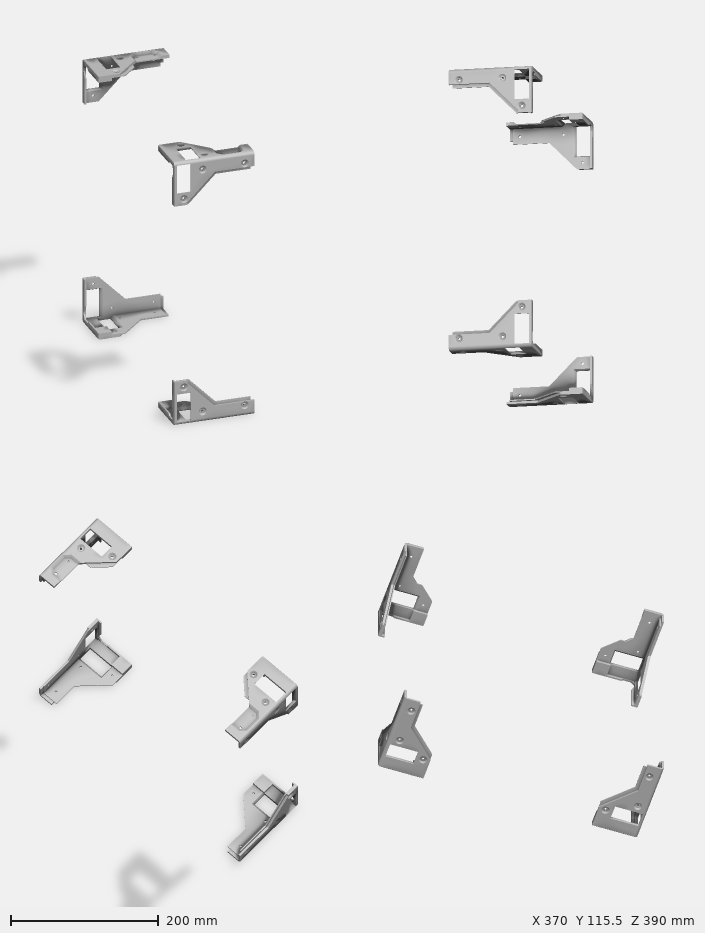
import cadquery as cq

WIDTH = 370.0
HEIGHT = 390.0
LENGTH = 115.5

LEG = 64.7
PLATE = 4.5
SKIN = 3.0
CORNER_RADIUS = 5.0
FRONT_CHAMFER = 0.6
TOLERANCE = 0.5

LIP = 4.5
BACK_GAP = 4.5

FLOOR_BACK_WIDTH = 27.5
FLOOR_SLANT_FRONT = 31.0
FLOOR_SLANT_BACK = 67.0
FLOOR_SLANT_LIP = 7.8
UPPER_LIP_END = 59.5

WALL_BACK_HEIGHT = 21.5
WALL_SLANT_FRONT = 19.0
WALL_SLANT_BACK = 58.5
WALL_SLANT_LIP = 2.0

WINDOW_WIDTH = 20.3
WINDOW_START = 4.5
FLOOR_WINDOW_END = 44.5
WALL_WINDOW_END = 46.0
FLOOR_WINDOW_Y = 18.5
WALL_WINDOW_Y = 3.5
WINDOW_FLARE = 3.5
WINDOW_END_FLARE = 2.0

RIM_HEIGHT = 9.0
RIM_DEPTH = 2.5
FLOOR_RIM_START = 23.5
FLOOR_RAMP = 2.7
WALL_RIM_START = 25.7
WALL_RAMP = 9.5
PAD_DEPTH = 19.0
RIM_FLOOR_LEVEL = 6.2
RIM_BEVEL_X = 9.0
RIM_BEVEL_Z = 12.5

HOLE_DIAMETER = 3.5
BORE_DIAMETER = 7.5
BORE_DEPTH = 2.5
MOUTH_DIAMETER = 11.5
FLOOR_HOLES = [(15.2, 48.5), (55.0, 29.0)]
FLOOR_BACK_HOLE = (15.2, 98.3)
WALL_HOLES = [(101.5, 15.5), (41.0, 15.5), (14.0, 55.5)]

POCKET_FRONT = 64.5
POCKET_BACK = 104.5
POCKET_CORNER = 7.8
POCKET_CORNER_SHRINK = 0.6
POCKET_DEPTH = 3.0
POCKET_WALL_RUN = 4.0
POCKET_SIDE = 4.5
POCKET_OVERRUN = 4.0
BLIND_HOLE = (15.2, 73.5)
BLIND_DEPTH = 0.8


def slab(plane, points, start, end):
    """Plate between two distances along the plane's normal."""
    return cq.Workplane(plane).workplane(offset=start).polyline(points).close().extrude(end - start)


def floor_points(back_width, slant_shift, length):
    """Floor outline; the slanted edge keeps its slope and is moved along Y."""
    slope = (FLOOR_SLANT_BACK - FLOOR_SLANT_FRONT) / (LEG - FLOOR_BACK_WIDTH)
    slant_front = FLOOR_SLANT_FRONT + slant_shift
    return [
        (0, 0),
        (LEG, 0),
        (LEG, slant_front),
        (back_width, slant_front + slope * (LEG - back_width)),
        (back_width, length),
        (0, length),
    ]


def upper_floor():
    """Floor without a lip beside the pocket."""
    plate = slab("XY", floor_points(FLOOR_BACK_WIDTH, 0, LENGTH), 0, PLATE)
    lip = slab("XY", floor_points(FLOOR_BACK_WIDTH, FLOOR_SLANT_LIP, LENGTH), SKIN, PLATE)
    front_part = cq.Workplane("XY").box(LEG, UPPER_LIP_END, PLATE, centered=False)
    return plate.union(lip.intersect(front_part))


def lower_floor():
    """Floor with the lip along the whole inner edge."""
    skin = slab("XY", floor_points(FLOOR_BACK_WIDTH - LIP, 0, LENGTH), 0, SKIN)
    lip_points = floor_points(FLOOR_BACK_WIDTH, FLOOR_SLANT_LIP, LENGTH - BACK_GAP)
    return skin.union(slab("XY", lip_points, SKIN, PLATE))


def wall():
    skin_points = [
        (0, 0),
        (LENGTH, 0),
        (LENGTH, WALL_BACK_HEIGHT),
        (WALL_SLANT_BACK, WALL_BACK_HEIGHT),
        (WALL_SLANT_FRONT, WALL_BACK_HEIGHT + WALL_SLANT_BACK - WALL_SLANT_FRONT),
        (WALL_SLANT_FRONT, LEG),
        (0, LEG),
    ]
    lip_height = WALL_BACK_HEIGHT + LIP
    lip_slant_back = WALL_SLANT_BACK + WALL_SLANT_LIP
    lip_points = [
        (0, 0),
        (LENGTH - BACK_GAP, 0),
        (LENGTH - BACK_GAP, lip_height),
        (lip_slant_back, lip_height),
        (lip_slant_back + lip_height - LEG, LEG),
        (0, LEG),
    ]
    return slab("YZ", skin_points, 0, SKIN).union(slab("YZ", lip_points, SKIN, PLATE))


def front_rim():
    points = [
        (0, 0),
        (LEG, 0),
        (LEG, RIM_HEIGHT),
        (FLOOR_RIM_START, RIM_HEIGHT),
        (FLOOR_RIM_START - FLOOR_RAMP, RIM_FLOOR_LEVEL),
        (RIM_BEVEL_X, RIM_FLOOR_LEVEL),
        (PLATE, RIM_BEVEL_Z),
        (PLATE, WALL_RIM_START - WALL_RAMP),
        (RIM_HEIGHT, WALL_RIM_START),
        (RIM_HEIGHT, LEG),
        (0, LEG),
    ]
    return slab("XZ", points, 0, -RIM_DEPTH)


def floor_pad():
    reach = LEG - FLOOR_WINDOW_END
    pad = cq.Workplane("XY").box(reach, PAD_DEPTH, RIM_HEIGHT, centered=False)
    return pad.translate((FLOOR_WINDOW_END, 0, 0))


def window(length, y):
    """Floor window whose back and end edges are flared towards the inner face."""
    wide_length = length + WINDOW_END_FLARE
    wide_width = WINDOW_WIDTH + WINDOW_FLARE
    straight = cq.Workplane("XY").box(length, WINDOW_WIDTH, PLATE, centered=False)
    flare = (
        cq.Workplane("XY")
        .workplane(offset=PLATE - WINDOW_FLARE)
        .polyline([(0, 0), (length, 0), (length, WINDOW_WIDTH), (0, WINDOW_WIDTH)])
        .close()
        .workplane(offset=WINDOW_FLARE)
        .polyline([(0, 0), (wide_length, 0), (wide_length, wide_width), (0, wide_width)])
        .close()
        .loft(ruled=True)
    )
    return straight.union(flare).translate((WINDOW_START, y, 0))


def floor_window():
    return window(FLOOR_WINDOW_END - WINDOW_START, FLOOR_WINDOW_Y)


def wall_window():
    """The same kind of window with X and Z exchanged."""
    flat = window(WALL_WINDOW_END - WINDOW_START, WALL_WINDOW_Y)
    return flat.rotate((0, 0, 0), (0, 1, 0), -90).mirror("YZ")


def straight_hole(depth):
    return cq.Workplane("XY").circle(HOLE_DIAMETER / 2).extrude(depth)


def screw_hole():
    """Hole along +Z whose counterbore opens at z = 0 with a 45 degree mouth."""
    mouth_depth = (MOUTH_DIAMETER - BORE_DIAMETER) / 2
    mouth = cq.Workplane(cq.Solid.makeCone(MOUTH_DIAMETER / 2, BORE_DIAMETER / 2, mouth_depth))
    bore = cq.Workplane("XY").circle(BORE_DIAMETER / 2).extrude(BORE_DEPTH)
    return straight_hole(PLATE).union(bore).union(mouth)


def drill(body, floor_holes):
    floor_hole = screw_hole()
    wall_hole = floor_hole.rotate((0, 0, 0), (0, 1, 0), 90)
    for x, y in floor_holes:
        body = body.cut(floor_hole.translate((x, y, 0)))
    for y, z in WALL_HOLES:
        body = body.cut(wall_hole.translate((0, y, z)))
    return body


def pocket_outline(inset):
    side = POCKET_SIDE + inset
    front = POCKET_FRONT + inset
    back = POCKET_BACK - inset
    corner = POCKET_CORNER - POCKET_CORNER_SHRINK * inset
    open_end = FLOOR_BACK_WIDTH + POCKET_OVERRUN
    return [
        (open_end, front),
        (side + corner, front),
        (side, front + corner),
        (side, back - corner),
        (side + corner, back),
        (open_end, back),
    ]


def pocket():
    """Pocket with a through hole near its back and a blind hole near its front."""
    recess = (
        cq.Workplane("XY")
        .polyline(pocket_outline(0))
        .close()
        .workplane(offset=POCKET_DEPTH)
        .polyline(pocket_outline(POCKET_WALL_RUN))
        .close()
        .loft(ruled=True)
    )
    through = straight_hole(PLATE).translate((*FLOOR_BACK_HOLE, 0))
    blind = straight_hole(POCKET_DEPTH + BLIND_DEPTH).translate((*BLIND_HOLE, 0))
    return recess.union(through).union(blind)


def edge_box(x_end, y_end):
    """Selects the edges at z = 0 that lie within the given reach of the front outer corner."""
    low = (-TOLERANCE, -TOLERANCE, -TOLERANCE)
    return cq.selectors.BoxSelector(low, (x_end + TOLERANCE, y_end + TOLERANCE, TOLERANCE))


def bracket(floor, floor_holes):
    """Floor and wall with everything that upper and lower brackets share."""
    body = floor.union(wall()).union(front_rim()).union(floor_pad())
    body = body.edges(edge_box(LEG, 0)).edges("|X").chamfer(FRONT_CHAMFER)
    body = body.edges(edge_box(0, LENGTH)).edges("|Y").fillet(CORNER_RADIUS)
    return drill(body.cut(floor_window()).cut(wall_window()), floor_holes)


def place(body):
    return body.translate((-WIDTH / 2, 0, -HEIGHT / 2))


lower_bracket = place(bracket(lower_floor(), FLOOR_HOLES + [FLOOR_BACK_HOLE]))
upper_bracket = place(bracket(upper_floor(), FLOOR_HOLES).cut(pocket())).mirror("XY")

brackets = []
for left in (lower_bracket, upper_bracket):
    brackets += [left.val(), left.mirror("YZ").val()]

result = cq.Compound.makeCompound(brackets)